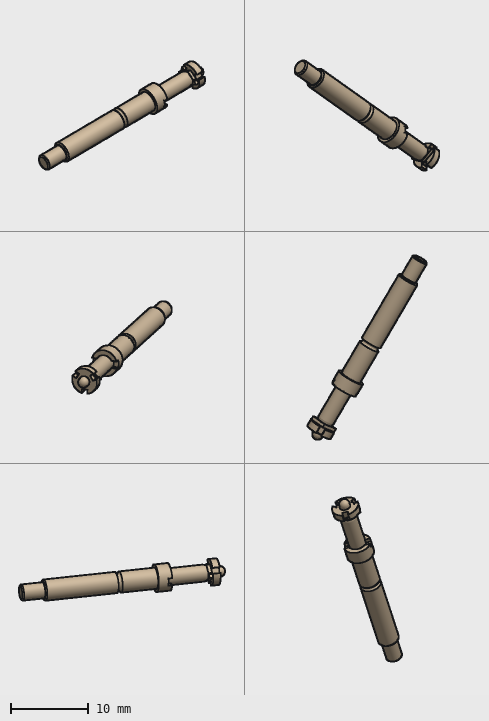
import cadquery as cq
import math

total_length = 27.3

rear_pin_radius = 1.06
rear_pin_length = 3.0
rear_pin_chamfer = 0.2
barrel_radius = 1.4
barrel_end_chamfer = 0.2

groove_center = 13.0
groove_width = 0.55
groove_radius = 1.15

collar_radius = 1.8
collar_start = 18.0
collar_length = 1.8
notch_width = 1.0
notch_depth = 0.52

shaft_radius = 1.12
shaft_neck_radius = 1.05
shaft_taper_length = 0.38

tip_radius = 0.7
tip_stem_length = 0.33

head_radius = 1.75
head_length = 0.98
neck_length = 0.5
neck_half_width = 1.7
neck_half_height = shaft_radius
slot_count = 3
slot_width = 0.76
slot_floor_distance = 1.15

collar_end = collar_start + collar_length
head_end = total_length - tip_radius - tip_stem_length
head_start = head_end - head_length
neck_start = head_start - neck_length


def revolve_about_y(profile):
    """Turn a closed (radius, y) profile fully around the Y axis."""
    return profile.close().revolve(360, (0, 0, 0), (0, 1, 0))


def at_station(y):
    """Sketch plane normal to the axis at y: local x is X, local y is Z, extrusions run toward -Y."""
    return cq.Workplane("XZ", origin=(0, y, 0))


def make_barrel():
    """Rear pin and barrel up to the collar, with end chamfers and the groove."""
    profile = (
        cq.Workplane("XY")
        .moveTo(0, 0)
        .lineTo(rear_pin_radius - rear_pin_chamfer, 0)
        .lineTo(rear_pin_radius, rear_pin_chamfer)
        .lineTo(rear_pin_radius, rear_pin_length)
        .lineTo(barrel_radius - barrel_end_chamfer, rear_pin_length)
        .lineTo(barrel_radius, rear_pin_length + barrel_end_chamfer)
        .lineTo(barrel_radius, groove_center - groove_width / 2)
        .threePointArc((groove_radius, groove_center), (barrel_radius, groove_center + groove_width / 2))
        .lineTo(barrel_radius, collar_start)
        .lineTo(0, collar_start)
    )
    return revolve_about_y(profile)


def make_collar():
    """Collar with a notch across its front face, open toward -X and +X."""
    collar = at_station(collar_end).circle(collar_radius).extrude(collar_length)
    notch = at_station(collar_end).rect(2 * collar_radius, notch_width).extrude(notch_depth)
    return collar.cut(notch)


def make_shaft():
    """Plunger shaft from the collar to the neck, tapered at its front end."""
    outline = [
        (0, collar_start),
        (shaft_radius, collar_start),
        (shaft_radius, neck_start - shaft_taper_length),
        (shaft_neck_radius, neck_start),
        (0, neck_start),
    ]
    return revolve_about_y(cq.Workplane("XY").polyline(outline))


def make_head():
    """Round head on a rhombic neck plate, both cut by equally spaced radial slots."""
    rhombus = [
        (neck_half_width, 0),
        (0, neck_half_height),
        (-neck_half_width, 0),
        (0, -neck_half_height),
    ]
    neck = at_station(head_start).polyline(rhombus).close().extrude(neck_length)
    head = at_station(head_end).circle(head_radius).extrude(head_length).union(neck)

    slot_middle = slot_floor_distance + head_radius / 2
    slot = (
        at_station(head_end)
        .center(0, -slot_middle)
        .rect(slot_width, head_radius)
        .extrude(head_length + neck_length)
    )
    for index in range(slot_count):
        angle = index * 360 / slot_count
        head = head.cut(slot.rotate((0, 0, 0), (0, 1, 0), angle))
    return head


def make_tip():
    """Short stem ending in a hemisphere."""
    stem_end = head_end + tip_stem_length
    diagonal = tip_radius * math.sqrt(0.5)
    profile = (
        cq.Workplane("XY")
        .moveTo(0, head_start)
        .lineTo(tip_radius, head_start)
        .lineTo(tip_radius, stem_end)
        .threePointArc((diagonal, stem_end + diagonal), (0, total_length))
    )
    return revolve_about_y(profile)


result = make_barrel().union(make_collar()).union(make_shaft()).union(make_head()).union(make_tip())